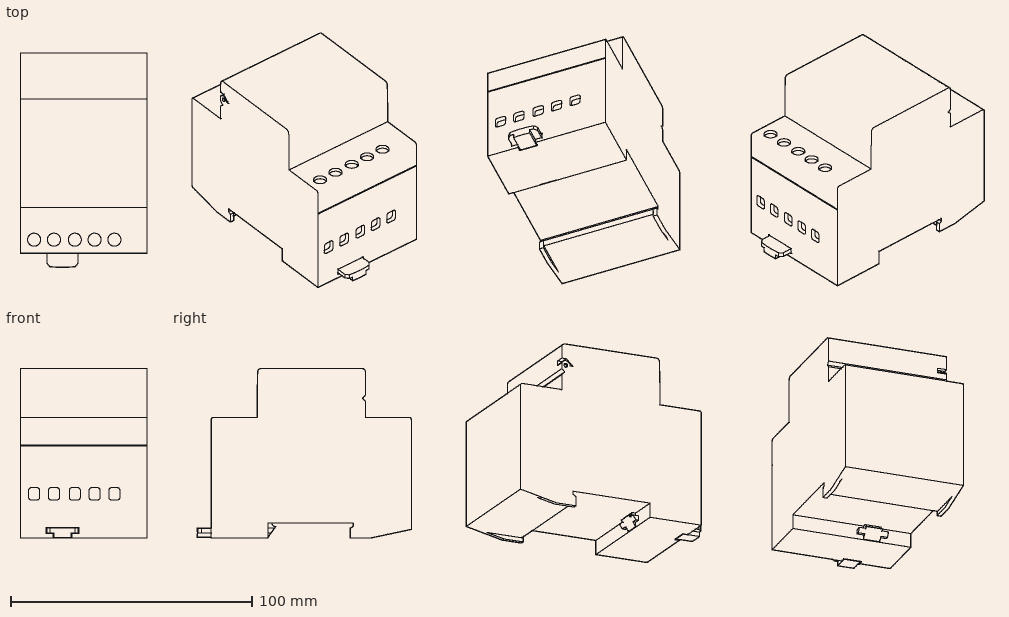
import cadquery as cq


WIDTH = 52.6
BODY_LENGTH = 83.0
BODY_HEIGHT = 50.0
HEAD_HEIGHT = 70.25
HEAD_FRONT = 19.0
HEAD_BACK = 64.0
BODY_EDGE_RADIUS = 1.0
HEAD_EDGE_RADIUS = 1.5
LID_SEAM_HEIGHT = 59.2
LID_FRONT_LEAN = 0.25

RAIL_FRONT = 23.55
RAIL_BACK = 58.8
RAIL_DEPTH = 6.2
CLAW_REACH = 1.2
CLAW_TOP = 4.8
CLAW_TIP = 4.1
TAIL_START = 66.4
TAIL_RISE = 3.55
CLAW_RIB_WIDTH = 1.8
CLAW_RECESS_HEIGHT = 1.7
CLAW_RECESS_SLOPE = 0.6

GROOVE_HEIGHT = 57.9
GROOVE_DEPTH = 1.3

COVER_GROOVE_BASE = 38.2
COVER_GROOVE_WIDTH = 0.3
COVER_GROOVE_DEPTH = 0.1

HINGE_Y = 62.2
HINGE_Z = 60.9
HINGE_PIN_DIAMETER = 1.6
HINGE_LUG_RADIUS = 2.0
HINGE_GAP_TOP = 63.8
HINGE_GAP_CORNER = 62.0
HINGE_GAP_TOE = 57.1
HINGE_PIN_DEPTH = 1.0
HINGE_GAP_DEPTH = 4.0

TERMINAL_POSITIONS = [5.75, 13.95, 22.6, 30.8, 39.0]
SCREW_WELL_DIAMETER = 5.4
SCREW_WELL_Y = 5.65
SCREW_WELL_DEPTH = 1.5
ENTRY_WIDTH = 4.55
ENTRY_HEIGHT = 5.15
ENTRY_CORNER_RADIUS = 1.1
ENTRY_Z = 18.3
ENTRY_DEPTH = 2.0

LATCH_CENTER = 17.5
LATCH_REACH = 5.88
FLANGE_WIDTH = 13.0
FLANGE_TOP = 4.05
FLANGE_BASE = 2.15
STEM_WIDTH = 7.2
STEM_BASE = 0.25
NOSE_SIDE_REACH = 4.1
NOSE_CORNER_REACH = 5.55
NOSE_CORNER_WIDTH = 1.25
HOOK_TIP_Y = 26.8
HOOK_NECK_Y = 25.2
HOOK_TIP_Z = 4.8
LATCH_CLEARANCE = 0.35
LATCH_SLOT_DEPTH = 2.0


def side_profile(points, x_start, x_length):
    """Extrude a (y, z) outline along +X from x_start."""
    return cq.Workplane("YZ").workplane(offset=x_start).polyline(points).close().extrude(x_length)


def block(x_min, x_max, y_min, y_max, z_min, z_max):
    size = (x_max - x_min, y_max - y_min, z_max - z_min)
    return cq.Workplane("XY").box(*size, centered=False).translate((x_min, y_min, z_min))


def centered_block(width, y_min, y_max, z_min, z_max):
    """Block centred on the latch in X."""
    return block(LATCH_CENTER - width / 2, LATCH_CENTER + width / 2, y_min, y_max, z_min, z_max)


def round_edge(solid, y, z, radius):
    """Fillet the full-width edge that passes through (y, z)."""
    return solid.edges(cq.selectors.NearestToPointSelector((WIDTH / 2, y, z))).fillet(radius)


def make_housing():
    lid_front = HEAD_FRONT + LID_FRONT_LEAN
    outline = [
        (0, 0),
        (0, BODY_HEIGHT),
        (HEAD_FRONT, BODY_HEIGHT),
        (HEAD_FRONT, LID_SEAM_HEIGHT),
        (lid_front, HEAD_HEIGHT),
        (HEAD_BACK, HEAD_HEIGHT),
        (HEAD_BACK, GROOVE_HEIGHT + GROOVE_DEPTH),
        (HEAD_BACK - GROOVE_DEPTH, GROOVE_HEIGHT),
        (HEAD_BACK, GROOVE_HEIGHT - GROOVE_DEPTH),
        (HEAD_BACK, BODY_HEIGHT),
        (BODY_LENGTH, BODY_HEIGHT),
        (BODY_LENGTH, TAIL_RISE),
        (TAIL_START, 0),
        (RAIL_BACK - CLAW_REACH, 0),
        (RAIL_BACK - CLAW_REACH, CLAW_TIP),
        (RAIL_BACK, CLAW_TOP),
        (RAIL_BACK, RAIL_DEPTH),
        (RAIL_FRONT, RAIL_DEPTH),
        (RAIL_FRONT, 0),
    ]
    housing = side_profile(outline, 0, WIDTH)
    housing = round_edge(housing, 0, BODY_HEIGHT, BODY_EDGE_RADIUS)
    housing = round_edge(housing, BODY_LENGTH, BODY_HEIGHT, BODY_EDGE_RADIUS)
    housing = round_edge(housing, lid_front, HEAD_HEIGHT, HEAD_EDGE_RADIUS)
    return round_edge(housing, HEAD_BACK, HEAD_HEIGHT, HEAD_EDGE_RADIUS)


def claw_recess():
    """Hollow under the claw and tail, leaving a rib at each side and a leaning claw face."""
    claw_front = RAIL_BACK - CLAW_REACH
    recess_outline = [
        (claw_front, 0),
        (claw_front, CLAW_TIP),
        (claw_front + CLAW_RECESS_SLOPE, CLAW_RECESS_HEIGHT),
        (BODY_LENGTH, CLAW_RECESS_HEIGHT),
        (BODY_LENGTH, 0),
    ]
    return side_profile(recess_outline, CLAW_RIB_WIDTH, WIDTH - 2 * CLAW_RIB_WIDTH)


def cover_groove():
    groove_top = COVER_GROOVE_BASE + COVER_GROOVE_WIDTH
    return block(0, WIDTH, 0, COVER_GROOVE_DEPTH, COVER_GROOVE_BASE, groove_top)


def hinge_cylinder(diameter, depth):
    return (
        cq.Workplane("YZ")
        .center(HINGE_Y, HINGE_Z)
        .circle(diameter / 2)
        .extrude(depth)
    )


def hinge_recess():
    """Gap between the lid and the round hinge lug, and the pin hole in the lug."""
    slope = (HINGE_GAP_TOP - LID_SEAM_HEIGHT) / (HINGE_GAP_CORNER - HINGE_GAP_TOE)
    lug_base_y = HINGE_GAP_TOE + (HINGE_Z - LID_SEAM_HEIGHT) / slope
    gap_outline = [
        (HEAD_BACK, HINGE_Z),
        (HEAD_BACK, HINGE_GAP_TOP),
        (HINGE_GAP_CORNER, HINGE_GAP_TOP),
        (lug_base_y, HINGE_Z),
    ]
    lug = hinge_cylinder(2 * HINGE_LUG_RADIUS, HINGE_GAP_DEPTH)
    gap = side_profile(gap_outline, 0, HINGE_GAP_DEPTH).cut(lug)
    return gap.union(hinge_cylinder(HINGE_PIN_DIAMETER, HINGE_PIN_DEPTH))


def screw_well(x):
    return (
        cq.Workplane("XY")
        .center(x, SCREW_WELL_Y)
        .circle(SCREW_WELL_DIAMETER / 2)
        .extrude(SCREW_WELL_DEPTH)
        .translate((0, 0, BODY_HEIGHT - SCREW_WELL_DEPTH))
    )


def wire_entry(x):
    return (
        cq.Workplane("XY")
        .box(ENTRY_WIDTH, ENTRY_DEPTH, ENTRY_HEIGHT)
        .edges("|Y")
        .fillet(ENTRY_CORNER_RADIUS)
        .translate((x, ENTRY_DEPTH / 2, ENTRY_Z))
    )


def latch_slot():
    """Clearance slot around the latch in the front face, open at the base."""
    flange_slot = centered_block(
        FLANGE_WIDTH + 2 * LATCH_CLEARANCE,
        0,
        LATCH_SLOT_DEPTH,
        FLANGE_BASE - LATCH_CLEARANCE,
        FLANGE_TOP + LATCH_CLEARANCE,
    )
    stem_slot = centered_block(
        STEM_WIDTH + 2 * LATCH_CLEARANCE, 0, LATCH_SLOT_DEPTH, 0, FLANGE_BASE
    )
    return flange_slot.union(stem_slot)


def latch_plan():
    """Plan of the latch: straight sides, cut corners and a bowed nose."""
    half_width = FLANGE_WIDTH / 2
    nose_half_width = half_width - NOSE_CORNER_WIDTH
    return (
        cq.Workplane("XY")
        .moveTo(LATCH_CENTER - half_width, HOOK_TIP_Y)
        .lineTo(LATCH_CENTER - half_width, -NOSE_SIDE_REACH)
        .lineTo(LATCH_CENTER - nose_half_width, -NOSE_CORNER_REACH)
        .threePointArc(
            (LATCH_CENTER, -LATCH_REACH),
            (LATCH_CENTER + nose_half_width, -NOSE_CORNER_REACH),
        )
        .lineTo(LATCH_CENTER + half_width, -NOSE_SIDE_REACH)
        .lineTo(LATCH_CENTER + half_width, HOOK_TIP_Y)
        .close()
        .extrude(RAIL_DEPTH)
    )


def make_latch():
    flange = centered_block(FLANGE_WIDTH, -LATCH_REACH, HOOK_TIP_Y, FLANGE_BASE, FLANGE_TOP)
    stem = centered_block(STEM_WIDTH, -LATCH_REACH, HOOK_TIP_Y, STEM_BASE, FLANGE_BASE)
    hook = centered_block(STEM_WIDTH, RAIL_FRONT, HOOK_TIP_Y, FLANGE_TOP, RAIL_DEPTH)
    hook_slope = [
        (HOOK_TIP_Y, 0),
        (HOOK_TIP_Y, HOOK_TIP_Z),
        (RAIL_FRONT, STEM_BASE),
        (RAIL_FRONT, 0),
    ]
    neck_radius = RAIL_DEPTH - HOOK_TIP_Z
    neck_hollow = (
        cq.Workplane("YZ")
        .moveTo(HOOK_NECK_Y, RAIL_DEPTH)
        .radiusArc((HOOK_NECK_Y + neck_radius, HOOK_TIP_Z), -neck_radius)
        .lineTo(HOOK_TIP_Y, HOOK_TIP_Z)
        .lineTo(HOOK_TIP_Y, RAIL_DEPTH)
        .close()
        .extrude(WIDTH)
    )
    latch = flange.union(stem).union(hook).intersect(latch_plan())
    return latch.cut(side_profile(hook_slope, 0, WIDTH)).cut(neck_hollow)


result = make_housing().cut(claw_recess()).cut(cover_groove()).cut(hinge_recess())
for terminal_x in TERMINAL_POSITIONS:
    result = result.cut(screw_well(terminal_x)).cut(wire_entry(terminal_x))
result = result.cut(latch_slot()).union(make_latch())